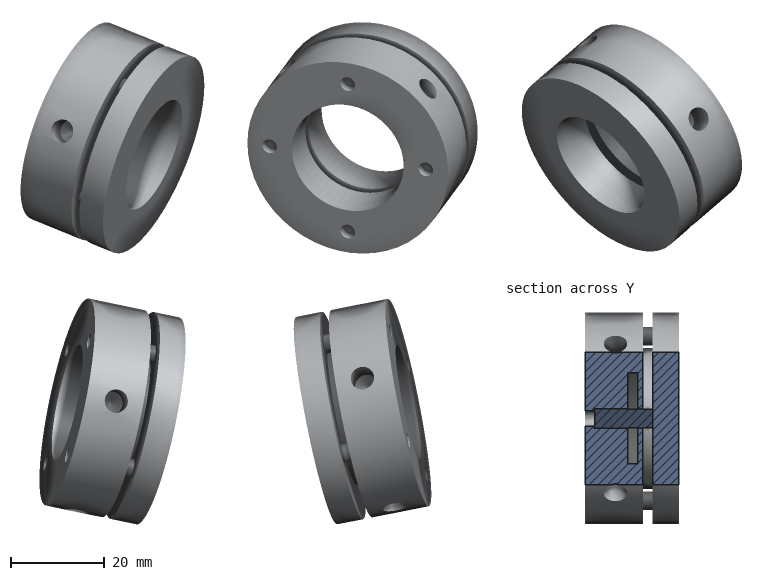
import cadquery as cq
import math

OUTER_DIAMETER = 45.0
BORE_DIAMETER = 25.0
COLLAR_WIDTH = 20.0
CLAMP_RING_WIDTH = 12.35

SLOT_WIDTH = 2.0
GROOVE_WIDTH = SLOT_WIDTH
GROOVE_START = 9.2
WALL_THICKNESS = 2.48
SLOT_FLOOR_DIAMETER = BORE_DIAMETER + 2 * WALL_THICKNESS
GROOVE_DIAMETER = OUTER_DIAMETER - 2 * WALL_THICKNESS

PIN_COUNT = 4
PIN_SPACING = 360.0 / PIN_COUNT
PIN_CIRCLE_DIAMETER = 35.0
PIN_DIAMETER = 4.0
PIN_START = 2.0
PIN_END = CLAMP_RING_WIDTH + SLOT_WIDTH
PIN_LENGTH = PIN_END - PIN_START
ACCESS_HOLE_DIAMETER = 3.25

RADIAL_HOLE_DIAMETER = 5.0
RADIAL_HOLE_DEPTH = 6.0
DRILL_TIP_ANGLE = 118.0
RADIAL_HOLE_X = 6.5
RADIAL_HOLE_FIRST_ANGLE = PIN_SPACING / 2


def disc(start, width, diameter):
    """Solid cylinder on the X axis."""
    return cq.Workplane("YZ", origin=(start, 0, 0)).circle(diameter / 2).extrude(width)


def axial_cylinder(start, length, diameter, angle):
    """Cylinder parallel to X on the pin circle, turned about X by the given angle."""
    cylinder = disc(start, length, diameter).translate((0, 0, PIN_CIRCLE_DIAMETER / 2))
    return cylinder.rotate((0, 0, 0), (1, 0, 0), angle)


def radial_hole(angle):
    """Drill-shaped cutter with a conical tip that enters the outside of the clamping ring."""
    radius = RADIAL_HOLE_DIAMETER / 2
    shoulder_z = OUTER_DIAMETER / 2 - RADIAL_HOLE_DEPTH
    tip_z = shoulder_z - radius / math.tan(math.radians(DRILL_TIP_ANGLE / 2))
    cutter = (
        cq.Workplane("XZ")
        .moveTo(0, tip_z)
        .lineTo(radius, shoulder_z)
        .lineTo(radius, OUTER_DIAMETER)
        .lineTo(0, OUTER_DIAMETER)
        .close()
        .revolve(360, (0, 0, 0), (0, 1, 0))
    )
    return cutter.translate((RADIAL_HOLE_X, 0, 0)).rotate((0, 0, 0), (1, 0, 0), angle)


def make_collar():
    collar = disc(0, COLLAR_WIDTH, OUTER_DIAMETER).cut(disc(0, COLLAR_WIDTH, BORE_DIAMETER))

    slot = disc(CLAMP_RING_WIDTH, SLOT_WIDTH, 2 * OUTER_DIAMETER)
    slot = slot.cut(disc(CLAMP_RING_WIDTH, SLOT_WIDTH, SLOT_FLOOR_DIAMETER))
    collar = collar.cut(slot)
    collar = collar.cut(disc(GROOVE_START, GROOVE_WIDTH, GROOVE_DIAMETER))

    for index in range(PIN_COUNT):
        angle = index * PIN_SPACING
        collar = collar.cut(axial_cylinder(0, PIN_START, ACCESS_HOLE_DIAMETER, angle))
        collar = collar.cut(axial_cylinder(PIN_START, PIN_LENGTH, PIN_DIAMETER, angle))
        collar = collar.cut(radial_hole(angle + RADIAL_HOLE_FIRST_ANGLE))
    return collar


def make_pin(angle):
    return axial_cylinder(PIN_START, PIN_LENGTH, PIN_DIAMETER, angle)


collar = make_collar()
pins = [make_pin(index * PIN_SPACING) for index in range(PIN_COUNT)]

result = cq.Compound.makeCompound([collar.val(), *[pin.val() for pin in pins]])